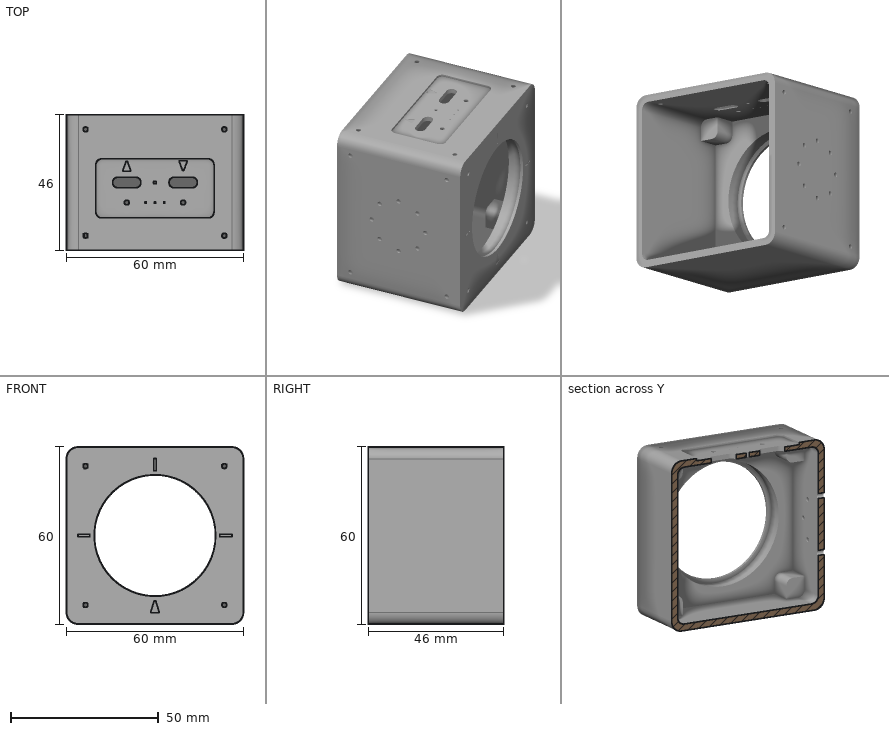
import cadquery as cq

side = 60.0
depth = 46.0
wall = 2.5
outer_radius = 4.0
inner_radius = 2.5
half_side = side / 2
half_depth = depth / 2
front_y = -half_depth

lip_diameter = 41.0
lip_thickness = 1.0
bore_diameter = 44.02
front_wall = 6.0

post_inner = 20.3
post_length = 14.0
post_radius = 2.5

screw_diameter = 1.62
screw_depth = 6.0
screw_offset = 23.5
screw_end_offset = 18.0
circle_diameter = 20.0
circle_holes = 8

panel_length = 40.0
panel_width = 20.0
panel_y = -2.0
panel_depth = 0.8
panel_radius = 2.0
panel_floor = half_side - panel_depth
button_x = 9.55
slot_length = 9.6
slot_width = 3.6
sensor_diameter = 1.0
lower_row_y = -6.8
light_diameter = 0.5
light_pitch = 3.15
light_count = 3
panel_arrow_low_y = 3.8
panel_arrow_high_y = 7.4
panel_arrow_length = 3.9
panel_arrow_width = 2.9

engraving_depth = 0.1
bar_inner = 22.0
bar_outer = 26.2
bar_width = 0.8
front_arrow_base = 26.2
front_arrow_length = 4.9
front_arrow_width = 3.0
arrow_corner_radius = 0.3


def front_plane(y):
    """Plane across the part at position y, facing the front (-Y), with local axes X and Z."""
    return cq.Workplane("XZ", origin=(0, y, 0))


def top_plane(z):
    """Horizontal plane at height z."""
    return cq.Workplane("XY", origin=(0, 0, z))


def left_plane():
    """Outer face of the -X wall, with local axes Y and Z."""
    return cq.Workplane("YZ", origin=(-half_side, 0, 0))


def corner_points(across, along):
    return [(x, y) for x in (-across, across) for y in (-along, along)]


def arrow(plane, length, width):
    """Triangular cutter with its base centred on the plane origin and its tip along the local +Y axis."""
    points = [(-width / 2, 0), (width / 2, 0), (0, length)]
    return plane.polyline(points).close().extrude(-engraving_depth)


def bar(plane):
    """Radial bar cutter along the local +Y axis, square at its inner end and round at its outer end."""
    half_width = bar_width / 2
    outline = plane.moveTo(-half_width, bar_inner).lineTo(half_width, bar_inner)
    outline = outline.lineTo(half_width, bar_outer - half_width)
    outline = outline.threePointArc((0, bar_outer), (-half_width, bar_outer - half_width))
    return outline.close().extrude(-engraving_depth)


def make_shell():
    outside = front_plane(half_depth).rect(side, side).extrude(depth).edges("|Y").fillet(outer_radius)
    inner_side = side - 2 * wall
    cavity = front_plane(half_depth).rect(inner_side, inner_side).extrude(depth - front_wall)
    return outside.cut(cavity.edges("|Y").fillet(inner_radius))


def make_post(x_sign, z_sign):
    """Square corner post standing on the front wall, its edge facing the cavity rounded."""
    size = half_side - wall / 2 - post_inner
    centre = post_inner + size / 2
    base = front_plane(front_y + post_length).center(x_sign * centre, z_sign * centre)
    edge_middle = (x_sign * post_inner, front_y + post_length / 2, z_sign * post_inner)
    inner_edge = cq.NearestToPointSelector(edge_middle)
    return base.rect(size, size).extrude(post_length).edges(inner_edge).fillet(post_radius)


def add_posts(body):
    for x_sign, z_sign in corner_points(1, 1):
        body = body.union(make_post(x_sign, z_sign))
    return body


def cut_front_opening(body):
    lip = front_plane(front_y + front_wall).circle(lip_diameter / 2).extrude(front_wall)
    bore = front_plane(front_y + front_wall).circle(bore_diameter / 2).extrude(front_wall - lip_thickness)
    return body.cut(lip).cut(bore)


def cut_screw_holes(body):
    radius = screw_diameter / 2
    front = front_plane(front_y).pushPoints(corner_points(screw_offset, screw_offset))
    top = top_plane(half_side).pushPoints(corner_points(screw_offset, screw_end_offset))
    left = left_plane().pushPoints(corner_points(screw_end_offset, screw_offset))
    ring = left_plane().polarArray(circle_diameter / 2, 0, 360, circle_holes)
    body = body.cut(front.circle(radius).extrude(-screw_depth))
    body = body.cut(top.circle(radius).extrude(-screw_depth))
    body = body.cut(left.circle(radius).extrude(screw_depth))
    return body.cut(ring.circle(radius).extrude(wall))


def cut_panel(body):
    recess = top_plane(panel_floor).center(0, panel_y).rect(panel_length, panel_width).extrude(panel_depth)
    body = body.cut(recess.edges("|Z").fillet(panel_radius))
    slots = top_plane(half_side).pushPoints([(-button_x, 0), (button_x, 0)])
    slots = slots.slot2D(slot_length, slot_width).extrude(-wall)
    screws = top_plane(half_side).pushPoints([(-button_x, lower_row_y), (button_x, lower_row_y)])
    lights = top_plane(half_side).center(0, lower_row_y).rarray(light_pitch, 1, light_count, 1)
    sensor = top_plane(half_side).circle(sensor_diameter / 2).extrude(-wall)
    body = body.cut(slots).cut(sensor)
    body = body.cut(screws.circle(screw_diameter / 2).extrude(-wall))
    return body.cut(lights.circle(light_diameter / 2).extrude(-wall))


def engrave_panel_arrows(body):
    for x, y, turn in ((-button_x, panel_arrow_low_y, 0), (button_x, panel_arrow_high_y, 180)):
        plane = top_plane(panel_floor).center(x, y).transformed(rotate=(0, 0, turn))
        cutter = arrow(plane, panel_arrow_length, panel_arrow_width)
        body = body.cut(cutter.edges("|Z").fillet(arrow_corner_radius))
    return body


def engrave_front_marks(body):
    for turn in (-90, 0, 90):
        plane = front_plane(front_y).transformed(rotate=(0, 0, turn))
        body = body.cut(bar(plane))
    plane = front_plane(front_y).center(0, -front_arrow_base)
    cutter = arrow(plane, front_arrow_length, front_arrow_width)
    return body.cut(cutter.edges("|Y").fillet(arrow_corner_radius))


result = make_shell()
result = add_posts(result)
result = cut_front_opening(result)
result = cut_screw_holes(result)
result = cut_panel(result)
result = engrave_panel_arrows(result)
result = engrave_front_marks(result)